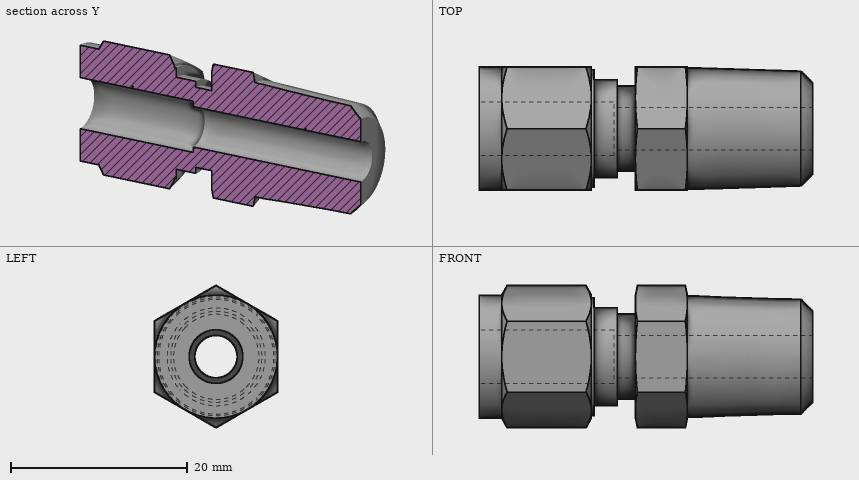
import cadquery as cq
import math


across_flats = 14.0
flat_radius = across_flats / 2
corner_radius = flat_radius / math.cos(math.radians(30))

nut_hex_start = 2.55
nut_hex_end = 12.75
nut_end = 13.05
shoulder_end = 15.7
body_hex_start = 17.75
body_hex_end = 23.65
thread_start = 24.7
overall_length = 37.9

nut_chamfer_angle = 30.0
body_chamfer_angle = 12.0

nut_lip_radius = 6.7
shoulder_radius = 5.57
neck_radius = 4.85

thread_land_radius = 6.9
thread_half_taper = 1 / 32
tip_chamfer = 1.35

socket_diameter = 6.1
socket_depth = 15.3
passage_diameter = 4.8


def cylinder(start, end, radius):
    """Round bar along X between two stations."""
    return cq.Workplane("YZ", origin=(start, 0, 0)).circle(radius).extrude(end - start)


def revolve_profile(points):
    """Revolve a closed (x, radius) outline about the X axis."""
    axis_start = (0, 0)
    axis_end = (1, 0)
    return cq.Workplane("XY").polyline(points).close().revolve(360, axis_start, axis_end)


def chamfered_hex(start, end, chamfer_angle):
    """Hex bar with its corners turned down by a cone at both ends."""
    hexagon = (
        cq.Workplane("YZ", origin=(start, 0, 0))
        .transformed(rotate=(0, 0, 90))
        .polygon(6, 2 * corner_radius)
        .extrude(end - start)
    )
    run = (corner_radius - flat_radius) * math.tan(math.radians(chamfer_angle))
    envelope = revolve_profile([
        (start, 0),
        (start, flat_radius),
        (start + run, corner_radius),
        (end - run, corner_radius),
        (end, flat_radius),
        (end, 0),
    ])
    return hexagon.intersect(envelope)


def make_nut():
    """Hex nut with a round collar in front and a thin lip behind."""
    collar = cylinder(0, nut_hex_start, flat_radius)
    hexagon = chamfered_hex(nut_hex_start, nut_hex_end, nut_chamfer_angle)
    lip = cylinder(nut_hex_end, nut_end, nut_lip_radius)
    return collar.union(hexagon).union(lip)


def make_body():
    """Shoulder, neck and wrench hex between the nut and the thread."""
    shoulder = cylinder(nut_end, shoulder_end, shoulder_radius)
    neck = cylinder(shoulder_end, body_hex_start, neck_radius)
    hexagon = chamfered_hex(body_hex_start, body_hex_end, body_chamfer_angle)
    return shoulder.union(neck).union(hexagon)


def make_thread():
    """Plain land, tapered thread envelope and chamfered tip."""
    taper_end = overall_length - tip_chamfer
    taper_end_radius = thread_land_radius - (taper_end - thread_start) * thread_half_taper
    return revolve_profile([
        (body_hex_end, 0),
        (body_hex_end, thread_land_radius),
        (thread_start, thread_land_radius),
        (taper_end, taper_end_radius),
        (overall_length, taper_end_radius - tip_chamfer),
        (overall_length, 0),
    ])


socket = cylinder(0, socket_depth, socket_diameter / 2)
passage = cylinder(0, overall_length, passage_diameter / 2)

result = make_nut().union(make_body()).union(make_thread()).cut(socket).cut(passage)